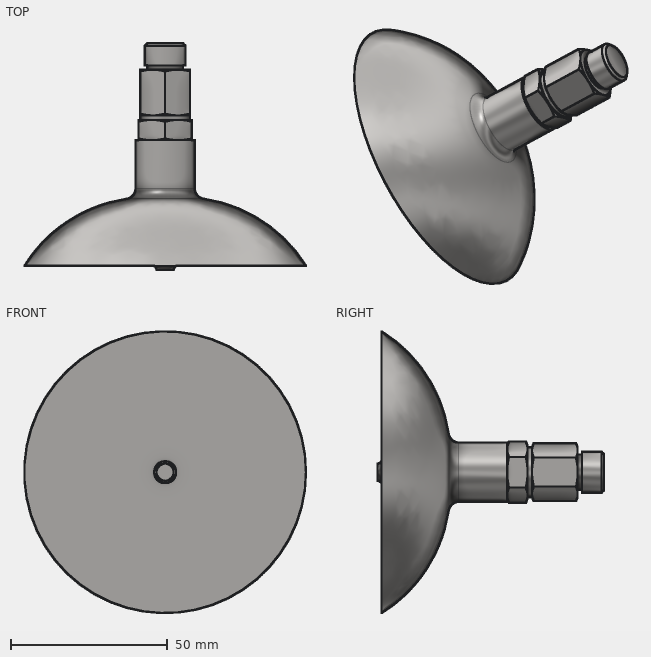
import cadquery as cq
import math

cup_diameter = 90.0
dome_radius = 46.8
rim_angle_degrees = 32.0
neck_diameter = 19.0
neck_start = 24.7
neck_end = 40.1

nut_flats = 17.0
nut_length = 6.5
collar_diameter = 16.0
collar_length = 1.4
body_flats = 16.0
body_length = 14.6
corner_chamfer = 0.5

undercut_diameter = 11.4
undercut_length = 1.35
thread_diameter = 13.1
thread_length = 7.1
thread_chamfer = 0.9

nose_diameter = 7.0
nose_tip_diameter = 5.5
nose_length = 1.35

nut_end = neck_end + nut_length
collar_end = nut_end + collar_length
body_end = collar_end + body_length
undercut_end = body_end + undercut_length


def cylinder(start, length, diameter):
    """Solid disc on the Y axis, from start towards +Y."""
    plane = cq.Workplane("XZ", origin=(0, start, 0))
    return plane.circle(diameter / 2).extrude(-length)


def hexagon(start, length, flats):
    """Hexagonal prism with flats on +X and -X and bevelled corners at both ends."""
    corners = flats / math.cos(math.pi / 6)
    plane = cq.Workplane("XZ", origin=(0, start, 0)).transformed(rotate=(0, 0, 90))
    prism = plane.polygon(6, corners).extrude(-length)
    envelope = (
        cq.Workplane("XY")
        .moveTo(0, start)
        .lineTo(flats / 2, start)
        .lineTo(corners / 2, start + corner_chamfer)
        .lineTo(corners / 2, start + length - corner_chamfer)
        .lineTo(flats / 2, start + length)
        .lineTo(0, start + length)
        .close()
        .revolve(360, (0, 0, 0), (0, 1, 0))
    )
    return prism.intersect(envelope)


def polar(center, radius, angle):
    """Point at a radius and angle from a center."""
    return (center[0] + radius * math.cos(angle), center[1] + radius * math.sin(angle))


def cup():
    """Domed cup blending through a concave fillet into the neck."""
    rim_radius = cup_diameter / 2
    neck_radius = neck_diameter / 2
    rim_angle = math.radians(rim_angle_degrees)
    dome_center = (
        rim_radius - dome_radius * math.cos(rim_angle),
        -dome_radius * math.sin(rim_angle),
    )

    offset = neck_radius - dome_center[0]
    rise = neck_start - dome_center[1]
    fillet_radius = (offset**2 + rise**2 - dome_radius**2) / (2 * (dome_radius - offset))
    fillet_center = (neck_radius + fillet_radius, neck_start)
    shoulder_angle = math.atan2(rise, offset + fillet_radius)

    shoulder = polar(dome_center, dome_radius, shoulder_angle)
    dome_middle = polar(dome_center, dome_radius, (rim_angle + shoulder_angle) / 2)
    fillet_middle = polar(fillet_center, fillet_radius, math.pi + shoulder_angle / 2)
    return (
        cq.Workplane("XY")
        .lineTo(rim_radius, 0)
        .threePointArc(dome_middle, shoulder)
        .threePointArc(fillet_middle, (neck_radius, neck_start))
        .lineTo(neck_radius, neck_end)
        .lineTo(0, neck_end)
        .close()
        .revolve(360, (0, 0, 0), (0, 1, 0))
    )


def nose():
    """Short pin end on the flat face, flaring out in a concave arc towards the face."""
    base_radius = nose_diameter / 2
    tip_radius = nose_tip_diameter / 2
    flare = base_radius - tip_radius
    arc_radius = (flare**2 + nose_length**2) / (2 * flare)
    arc_center = (tip_radius + arc_radius, -nose_length)
    arc_sweep = math.asin(nose_length / arc_radius)
    arc_middle = polar(arc_center, arc_radius, math.pi - arc_sweep / 2)
    return (
        cq.Workplane("XY")
        .lineTo(base_radius, 0)
        .threePointArc(arc_middle, (tip_radius, -nose_length))
        .lineTo(0, -nose_length)
        .close()
        .revolve(360, (0, 0, 0), (0, 1, 0))
    )


thread = cylinder(undercut_end, thread_length, thread_diameter).faces(">Y").chamfer(thread_chamfer)

result = (
    cup()
    .union(nose())
    .union(hexagon(neck_end, nut_length, nut_flats))
    .union(cylinder(nut_end, collar_length, collar_diameter))
    .union(hexagon(collar_end, body_length, body_flats))
    .union(cylinder(body_end, undercut_length, undercut_diameter))
    .union(thread)
)